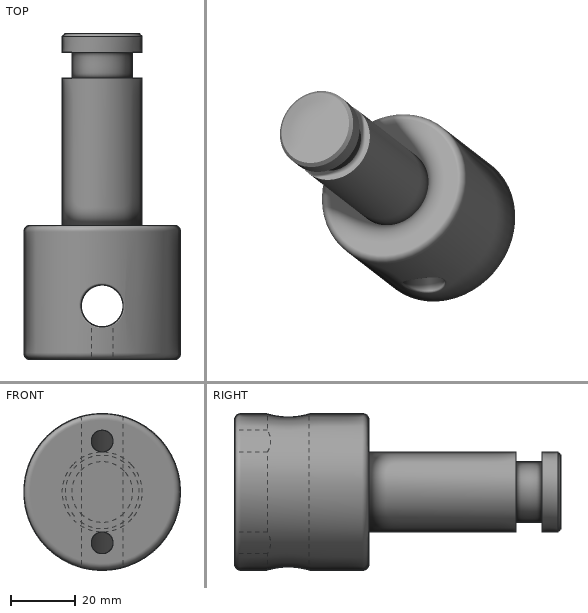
import cadquery as cq

HEAD_DIAMETER = 49.0
HEAD_LENGTH = 42.0
HEAD_FILLET = 2.0

TOTAL_LENGTH = 102.0
SHAFT_DIAMETER = 25.0
TIP_CHAMFER = 1.0
GROOVE_DIAMETER = 19.0
GROOVE_WIDTH = 8.0
COLLAR_LENGTH = 6.0

CROSS_HOLE_DIAMETER = 13.0
CROSS_HOLE_Y = 16.8
CROSS_HOLE_FILLET = 0.5

FACE_HOLE_DIAMETER = 6.8
FACE_HOLE_SPACING = 31.8


def cylinder_along_y(diameter, start, end, z=0.0):
    """Cylinder parallel to Y between two Y positions."""
    plane = cq.Plane(origin=(0, start, z), xDir=(1, 0, 0), normal=(0, 1, 0))
    return cq.Workplane(plane).circle(diameter / 2).extrude(end - start)


def make_head():
    head = cylinder_along_y(HEAD_DIAMETER, 0, HEAD_LENGTH).edges("%CIRCLE").fillet(HEAD_FILLET)
    cutter = (
        cq.Workplane("XY")
        .center(0, CROSS_HOLE_Y)
        .circle(CROSS_HOLE_DIAMETER / 2)
        .extrude(HEAD_DIAMETER / 2, both=True)
    )
    head = head.cut(cutter)
    reach = CROSS_HOLE_DIAMETER
    for mouth_z in (-HEAD_DIAMETER / 2, HEAD_DIAMETER / 2):
        mouth_box = cq.selectors.BoxSelector(
            (-reach, CROSS_HOLE_Y - reach, mouth_z - reach),
            (reach, CROSS_HOLE_Y + reach, mouth_z + reach),
            boundingbox=True,
        )
        head = head.edges(mouth_box).fillet(CROSS_HOLE_FILLET)
    return head


def make_shaft():
    groove_end = TOTAL_LENGTH - COLLAR_LENGTH
    groove_start = groove_end - GROOVE_WIDTH
    shaft = cylinder_along_y(SHAFT_DIAMETER, HEAD_LENGTH, TOTAL_LENGTH)
    shaft = shaft.faces(">Y").edges().chamfer(TIP_CHAMFER)
    groove = cylinder_along_y(SHAFT_DIAMETER, groove_start, groove_end).cut(
        cylinder_along_y(GROOVE_DIAMETER, groove_start, groove_end)
    )
    return shaft.cut(groove)


def cut_face_holes(body):
    for side in (-1, 1):
        z = side * FACE_HOLE_SPACING / 2
        body = body.cut(cylinder_along_y(FACE_HOLE_DIAMETER, 0, CROSS_HOLE_Y, z))
    return body


result = cut_face_holes(make_head().union(make_shaft()))